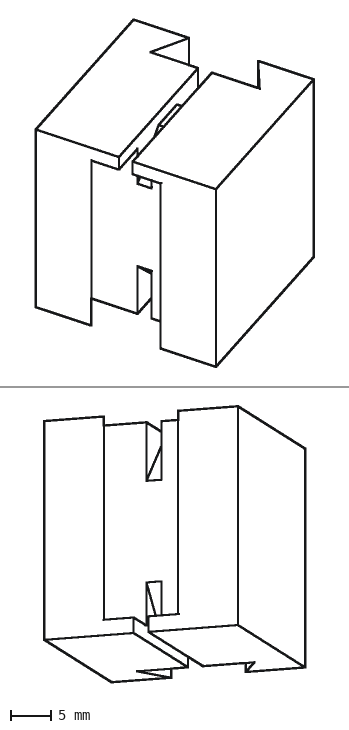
import cadquery as cq
import math

width = 25.6
depth = 25.6
height = 28.0
end_wall = 2.0
mouth_width = 9.8
dovetail_depth = 4.87
flank_angle = 30.5
slit_width = 1.95
web_chamfer = 5.52

half_depth = depth / 2
half_height = height / 2
overcut = 0.28


def front_dovetail():
    """Dovetail channel in the -Y face, open at the bottom and closed at the top."""
    half_mouth = mouth_width / 2
    half_base = half_mouth + dovetail_depth * math.tan(math.radians(flank_angle))
    mouth_y = -half_depth
    base_y = mouth_y + dovetail_depth
    return (
        cq.Workplane("XY", origin=(0, 0, -half_height))
        .polyline([
            (-half_mouth, mouth_y),
            (half_mouth, mouth_y),
            (half_base, base_y),
            (-half_base, base_y),
        ])
        .close()
        .extrude(height - end_wall)
    )


def slit():
    """Central slit cut all around an octagonal web that joins the two halves."""
    web = (
        cq.Workplane("XY")
        .box(slit_width, depth - 2 * dovetail_depth, height - 2 * end_wall)
        .edges("|X")
        .chamfer(web_chamfer)
    )
    around = cq.Workplane("XY").box(slit_width, depth + 2 * overcut, height + 2 * overcut)
    return around.cut(web)


result = cq.Workplane("XY").box(width, depth, height)
for turn in (0, 180):
    result = result.cut(front_dovetail().rotate((0, 0, 0), (1, 0, 0), turn))
result = result.cut(slit())